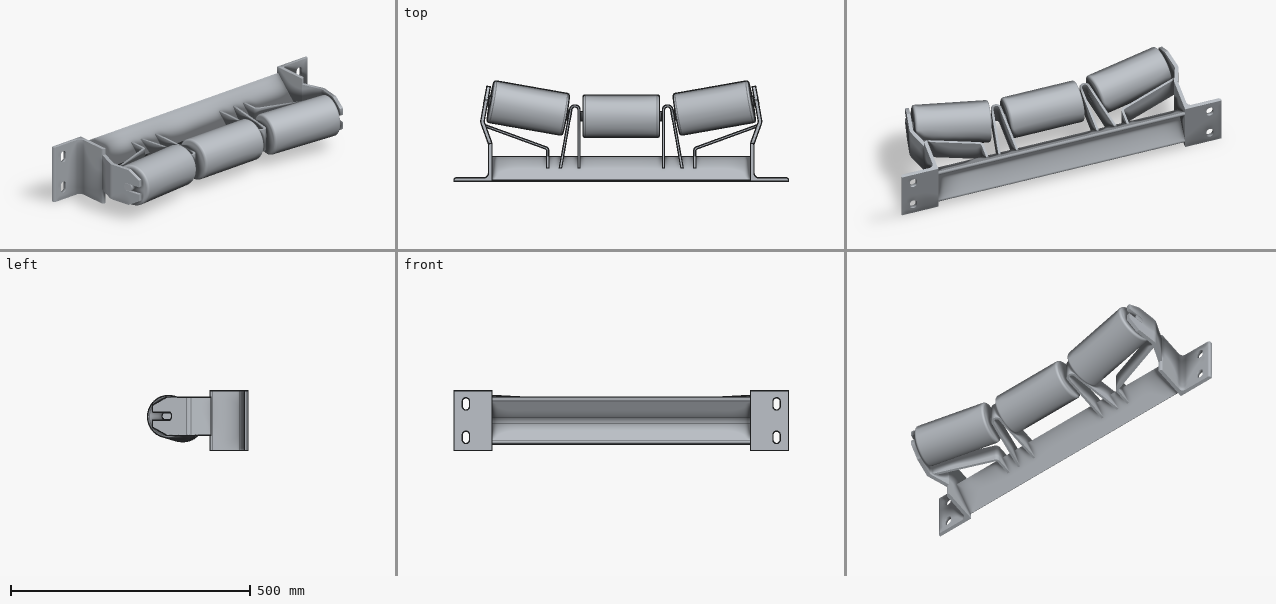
import cadquery as cq
import math

overall_length = 700.0
foot_leg = 80.0
foot_thickness = 8.0
foot_height = 125.0
foot_root_radius = 10.0
foot_toe_radius = 5.0
bolt_slot_width = 15.0
bolt_slot_length = 25.0
bolt_slot_inset = 25.0
bolt_slot_spacing = 70.0
heel_x = overall_length / 2 - foot_leg

beam_leg = 70.0
beam_thickness = 7.0
beam_root_radius = 9.0
beam_toe_radius = 4.5
toe_tip_cut = (math.sqrt(2) - 1) * beam_toe_radius
ridge_y = (beam_leg + beam_thickness) / math.sqrt(2) - toe_tip_cut

roller_diameter = 89.0
roller_length = 160.0
rim_radius = 5.0
shaft_diameter = 20.0
flat_width = 15.0
roller_gap = 5.5
shoulder_gap = 1.5
support_span = roller_length + 2 * roller_gap
trough_angle = 10.0
forward_angle = 3.0

strip_thickness = 5.0
strip_width = 50.0
crown_radius = 11.0
crown_y = 149.0
axis_drop = 12.5
crown_x = support_span / 2 + crown_radius
roller_y = crown_y - axis_drop

brace_x = 151.0
lean_angle = 20.0
brace_bend_radius = 5.0
brace_drop = 6.0

plate_thickness = 8.0
plate_width = 80.0
plate_end_width = 47.5
plate_taper_length = 29.0
plate_top_y = 198.0
plate_bend_radius = 9.0
shaft_slot_width = 17.0

trough = math.radians(trough_angle)
roller_direction = cq.Vector(math.cos(trough), math.sin(trough), 0)
leg_direction = cq.Vector(-math.sin(trough), math.cos(trough), 0)
lean = math.radians(lean_angle)
plate_foot_direction = cq.Vector(math.sin(lean), math.cos(lean), 0)
brace_direction = cq.Vector(-math.cos(lean), -math.sin(lean), 0)

crown_centre = cq.Vector(crown_x, crown_y, 0)
pivot = crown_centre + roller_direction * crown_radius - leg_direction * axis_drop

plate_base = cq.Vector(heel_x, foot_leg, 0)
forward = math.radians(forward_angle)
plate_distance = (pivot - plate_base).dot(roller_direction) + support_span * math.cos(forward)
plate_bend = plate_base + plate_foot_direction * (
    plate_distance / plate_foot_direction.dot(roller_direction)
)
plate_top = plate_bend + leg_direction * ((plate_top_y - plate_bend.y) / leg_direction.y)
plate_z = (support_span + plate_thickness / 2) * math.sin(forward)


def mirrored_pair(body):
    """The +X body and its mirror image on the -X side."""
    return [body, body.mirror("YZ")]


def place_side(body):
    """Move a body from the roller frame (axis X, inner support at 0) to the +X side."""
    tilted = body.rotate((0, 0, 0), (0, 1, 0), -forward_angle)
    return tilted.rotate((0, 0, 0), (0, 0, 1), trough_angle).translate(pivot)


def x_bar(diameter, start, end):
    return cq.Workplane("YZ", origin=(start, 0, 0)).circle(diameter / 2).extrude(end - start)


def x_box(start, end, width):
    """A box along X, wide in Y, with the given width in Z."""
    middle = (start + end) / 2
    return cq.Workplane("XY", origin=(middle, 0, 0)).box(end - start, roller_diameter, width)


def flatted_bar(start, end, width):
    """A round bar with two flats, facing +Z and -Z."""
    return x_bar(shaft_diameter, start, end).intersect(x_box(start, end, width))


def bent_strip(start, bend, end, thickness, inner_radius, width):
    """A strip with one bend; the three points are its face on the left of the path."""
    first = (bend - start).normalized()
    second = (end - bend).normalized()
    first_side = cq.Vector(first.y, -first.x, 0)
    second_side = cq.Vector(second.y, -second.x, 0)
    mitre = (first_side + second_side) * (thickness / (1 + first_side.dot(second_side)))
    far_bend = bend + mitre
    outline = [start, bend, end, end + second_side * thickness, far_bend, start + first_side * thickness]
    strip = cq.Workplane("XY").polyline([(p.x, p.y) for p in outline]).close().extrude(width / 2, both=True)
    turns_left = first.cross(second).z > 0
    near_radius = inner_radius if turns_left else inner_radius + thickness
    far_radius = inner_radius + thickness if turns_left else inner_radius
    strip = strip.edges(cq.selectors.NearestToPointSelector(bend.toTuple())).fillet(near_radius)
    return strip.edges(cq.selectors.NearestToPointSelector(far_bend.toTuple())).fillet(far_radius)


def ridge_wedge():
    """The space under the outer faces of the beam."""
    profile = cq.Workplane("YZ").moveTo(ridge_y, 0).lineTo(0, ridge_y).lineTo(0, -ridge_y).close()
    return profile.extrude(heel_x, both=True)


def make_beam():
    beam = (
        cq.Workplane("YZ")
        .polyline([
            (0, 0), (beam_leg, 0), (beam_leg, beam_thickness), (beam_thickness, beam_thickness),
            (beam_thickness, beam_leg), (0, beam_leg),
        ])
        .close()
        .extrude(heel_x, both=True)
    )
    root = cq.selectors.NearestToPointSelector((0, beam_thickness, beam_thickness))
    toe_a = cq.selectors.NearestToPointSelector((0, beam_leg, beam_thickness))
    toe_b = cq.selectors.NearestToPointSelector((0, beam_thickness, beam_leg))
    beam = beam.edges(root).fillet(beam_root_radius)
    beam = beam.edges(toe_a).fillet(beam_toe_radius)
    beam = beam.edges(toe_b).fillet(beam_toe_radius)
    return beam.rotate((0, 0, 0), (1, 0, 0), 135).translate((0, ridge_y, 0))


def make_foot():
    foot_end = heel_x + foot_leg
    inner_x = heel_x + foot_thickness
    foot = (
        cq.Workplane("XY")
        .polyline([
            (heel_x, 0), (foot_end, 0), (foot_end, foot_thickness), (inner_x, foot_thickness),
            (inner_x, foot_leg), (heel_x, foot_leg),
        ])
        .close()
        .extrude(foot_height / 2, both=True)
    )
    root = cq.selectors.NearestToPointSelector((inner_x, foot_thickness, 0))
    toe_a = cq.selectors.NearestToPointSelector((foot_end, foot_thickness, 0))
    toe_b = cq.selectors.NearestToPointSelector((inner_x, foot_leg, 0))
    foot = foot.edges(root).fillet(foot_root_radius)
    foot = foot.edges(toe_a).fillet(foot_toe_radius)
    foot = foot.edges(toe_b).fillet(foot_toe_radius)
    bolt_slots = (
        cq.Workplane("XZ", origin=(foot_end - bolt_slot_inset, 0, 0))
        .pushPoints([(0, -bolt_slot_spacing / 2), (0, bolt_slot_spacing / 2)])
        .slot2D(bolt_slot_length, bolt_slot_width, 90)
        .extrude(foot_thickness, both=True)
    )
    return foot.cut(bolt_slots)


def make_inner_bracket():
    """Bent strip straddling the beam ridge, holding the ends of two shafts."""
    inner_radius = crown_radius - strip_thickness
    leg_length = crown_y / math.cos(trough)
    outer_tangent = crown_centre + roller_direction * crown_radius
    inner_tangent = crown_centre + roller_direction * inner_radius
    outer_bottom = outer_tangent - leg_direction * leg_length
    inner_bottom = inner_tangent - leg_direction * leg_length
    strip = (
        cq.Workplane("XY")
        .moveTo(crown_x - crown_radius, 0)
        .lineTo(crown_x - crown_radius, crown_y)
        .threePointArc((crown_x, crown_y + crown_radius), outer_tangent.toTuple()[:2])
        .lineTo(outer_bottom.x, outer_bottom.y)
        .lineTo(inner_bottom.x, inner_bottom.y)
        .lineTo(inner_tangent.x, inner_tangent.y)
        .threePointArc((crown_x, crown_y + inner_radius), (crown_x - inner_radius, crown_y))
        .lineTo(crown_x - inner_radius, 0)
        .close()
        .extrude(strip_width / 2, both=True)
    )
    side_hole = place_side(flatted_bar(-strip_thickness - shoulder_gap, shoulder_gap, flat_width))
    leg_face = support_span / 2
    centre_hole = flatted_bar(leg_face, leg_face + strip_thickness, flat_width).translate((0, roller_y, 0))
    return strip.cut(ridge_wedge()).cut(side_hole).cut(centre_hole)


def make_brace():
    """Bent strip from the beam up to the lower part of the side plate."""
    top = plate_bend - plate_foot_direction * brace_drop
    bend = top + brace_direction * ((brace_x - top.x) / brace_direction.x)
    bottom = cq.Vector(brace_x, 0, 0)
    brace = bent_strip(bottom, bend, top, strip_thickness, brace_bend_radius, strip_width)
    return brace.cut(ridge_wedge()).cut(make_side_plate())


def make_frame():
    """Welded base: beam, feet, inner brackets and braces."""
    frame = make_beam()
    for part in (make_foot(), make_inner_bracket(), make_brace()):
        for copy in mirrored_pair(part):
            frame = frame.union(copy)
    return frame


def make_side_plate():
    plate = bent_strip(
        plate_base, plate_bend, plate_top, plate_thickness, plate_bend_radius, plate_width
    ).translate((0, 0, plate_z))
    plate = plate.cut(make_foot())
    upper_origin = plate_top + cq.Vector(0, 0, plate_z)
    upper_plane = cq.Plane(origin=upper_origin, xDir=leg_direction, normal=roller_direction)
    for side in (-1, 1):
        corner = (
            cq.Workplane(upper_plane)
            .moveTo(0, side * plate_end_width / 2)
            .lineTo(0, side * plate_width / 2)
            .lineTo(-plate_taper_length, side * plate_width / 2)
            .close()
            .extrude(plate_thickness)
        )
        plate = plate.cut(corner)
    slot_start = support_span - plate_thickness
    slot_end = support_span + 2 * plate_thickness
    channel = x_box(slot_start, slot_end, shaft_slot_width).translate((0, roller_diameter / 2, 0))
    shaft_slot = channel.union(flatted_bar(slot_start, slot_end, shaft_slot_width))
    return plate.cut(place_side(shaft_slot))


def make_roller():
    """Roller along X with its inner support face at X = 0."""
    end = roller_gap + roller_length
    roller = x_bar(roller_diameter, roller_gap, end).faces("<X or >X").edges().fillet(rim_radius)
    return roller.cut(x_bar(shaft_diameter, roller_gap, end))


def make_shaft(far_thickness):
    """Shaft along X, ending flush with supports of the given far thickness."""
    round_part = x_bar(shaft_diameter, shoulder_gap, support_span - shoulder_gap)
    flat_part = flatted_bar(-strip_thickness, support_span + far_thickness, flat_width)
    return round_part.union(flat_part)


def place_centre(body):
    return body.translate((-support_span / 2, roller_y, 0))


frame = make_frame()
side_plates = mirrored_pair(make_side_plate())
rollers = [place_centre(make_roller()), *mirrored_pair(place_side(make_roller()))]
shafts = [
    place_centre(make_shaft(strip_thickness)),
    *mirrored_pair(place_side(make_shaft(plate_thickness))),
]

result = cq.Compound.makeCompound([
    frame.val(),
    *[plate.val() for plate in side_plates],
    *[roller.val() for roller in rollers],
    *[shaft.val() for shaft in shafts],
])